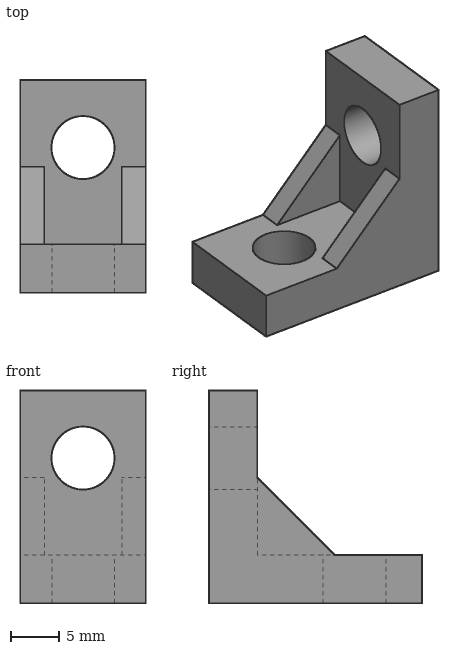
import cadquery as cq

width = 13.0
leg_length = 22.0
thickness = 5.0
rib_width = 2.5
rib_leg = 8.0
hole_diameter = 6.5
hole_end_offset = 7.0

hole_position = leg_length - hole_end_offset


def make_angle():
    """L-shaped bracket: base along +Y, upright along +Z, outer corner at the origin."""
    base = cq.Workplane("XY").box(width, leg_length, thickness, centered=(True, False, False))
    upright = cq.Workplane("XY").box(width, thickness, leg_length, centered=(True, False, False))
    return base.union(upright)


def make_rib(x_start):
    """Triangular rib filling the inner corner, with its lower-X face at x_start."""
    rib_end = thickness + rib_leg
    return (
        cq.Workplane("YZ", origin=(x_start, 0, 0))
        .moveTo(thickness, thickness)
        .lineTo(rib_end, thickness)
        .lineTo(thickness, rib_end)
        .close()
        .extrude(rib_width)
    )


bracket = make_angle()

for x_start in (-width / 2, width / 2 - rib_width):
    bracket = bracket.union(make_rib(x_start))

hole_radius = hole_diameter / 2
base_hole = cq.Workplane("XY").center(0, hole_position).circle(hole_radius).extrude(thickness)
upright_hole = cq.Workplane("XZ").center(0, hole_position).circle(hole_radius).extrude(-thickness)

result = bracket.cut(base_hole).cut(upright_hole)